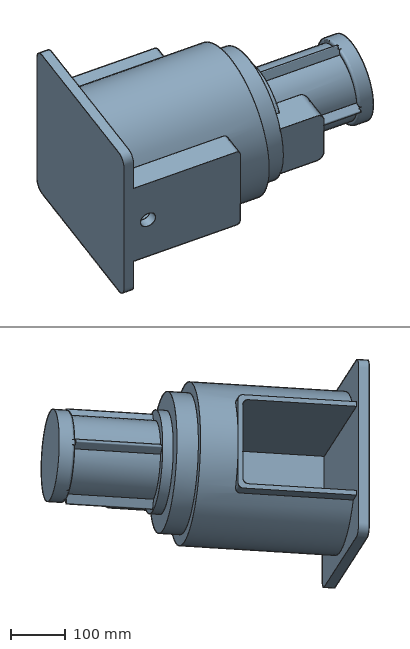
import cadquery as cq
import math

plate_side = 340.0
plate_thickness = 20.0
plate_corner_radius = 20.0

body_radius = 150.0
body_end = 310.0
shoulder_radius = 130.0
shoulder_end = 350.0
collar_radius = 95.0
collar_end = 369.5

core_radius = 75.5
ring_radius = 84.5
ring_start = 530.5
ring_rounding = 5.0
total_length = 560.0

rib_count = 4
rib_crest_radius = 91.0
rib_flank_top_radius = 89.5
rib_base_half_width = 9.5
rib_top_half_width = 2.0

box_height = 179.0
box_end = 240.0
box_corner_radius = 9.0
box_wall = 9.0
pocket_corner_radius = 10.0
pocket_end_wall = plate_thickness
box_left = -body_radius
box_right = plate_side / 2

hole_diameter = 31.0
hole_position = 50.0

block_reach = 117.5
block_height = 110.0
block_end = 440.0
block_corner_radius = 15.0


def cylinder(radius, start, end):
    """Cylinder on the Y axis from start to end."""
    return cq.Workplane("XZ", origin=(0, start, 0)).circle(radius).extrude(start - end)


def bar(x_start, x_end, y_start, y_end, height, corner_radius):
    """Bar centred on z = 0 whose far Y corners are rounded along X."""
    block = cq.Workplane("XY").box(
        x_end - x_start, y_end - y_start, height, centered=(False, False, True)
    )
    return block.translate((x_start, y_start, 0)).edges("|X and >Y").fillet(corner_radius)


def base_plate():
    plate = cq.Workplane("XZ").rect(plate_side, plate_side).extrude(-plate_thickness)
    return plate.edges("|Y").fillet(plate_corner_radius)


def stepped_body():
    body = cylinder(body_radius, 0, body_end)
    body = body.union(cylinder(shoulder_radius, 0, shoulder_end))
    return body.union(cylinder(collar_radius, 0, collar_end))


def ribs(end):
    """All ribs, from the shoulder to the given end; their roots lie inside the core."""
    root_radius = math.sqrt(core_radius**2 - rib_base_half_width**2)
    profile = (
        cq.Workplane("XZ", origin=(0, shoulder_end, 0))
        .moveTo(0, -rib_base_half_width)
        .lineTo(root_radius, -rib_base_half_width)
        .lineTo(rib_flank_top_radius, -rib_top_half_width)
        .threePointArc((rib_crest_radius, 0), (rib_flank_top_radius, rib_top_half_width))
        .lineTo(root_radius, rib_base_half_width)
        .lineTo(0, rib_base_half_width)
        .close()
    )
    rib = profile.extrude(shoulder_end - end)
    all_ribs = rib
    for index in range(1, rib_count):
        angle = index * 360 / rib_count
        all_ribs = all_ribs.union(rib.rotate((0, 0, 0), (0, 1, 0), angle))
    return all_ribs


def spindle():
    core = cylinder(core_radius, shoulder_end, total_length)
    ring = cylinder(ring_radius, ring_start, total_length).edges("<Y").fillet(ring_rounding)
    rib_roots = ribs(ring_start + ring_rounding).intersect(
        cylinder(ring_radius, shoulder_end, total_length)
    )
    return core.union(ring).union(ribs(ring_start)).union(rib_roots)


def box():
    return bar(box_left, box_right, 0, box_end, box_height, box_corner_radius)


def box_pocket():
    return bar(
        box_left,
        box_right - pocket_end_wall,
        plate_thickness,
        box_end - box_wall,
        box_height - 2 * box_wall,
        pocket_corner_radius,
    )


def cross_hole():
    hole = cq.Workplane("YZ", origin=(-plate_side / 2, hole_position, 0))
    return hole.circle(hole_diameter / 2).extrude(plate_side)


def side_block():
    return bar(0, block_reach, body_end, block_end, block_height, block_corner_radius)


result = (
    base_plate()
    .union(stepped_body())
    .union(spindle())
    .union(side_block())
    .union(box())
    .cut(box_pocket())
    .cut(cross_hole())
)